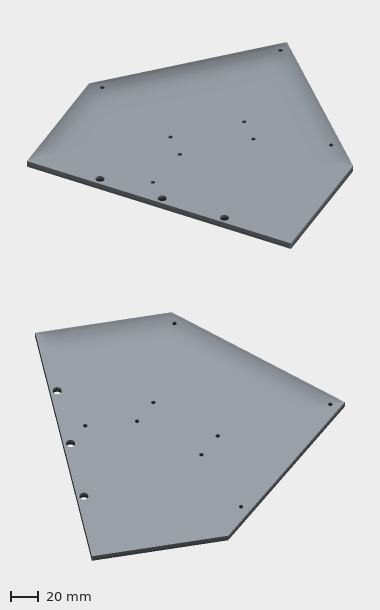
import cadquery as cq

width = 212.1
thickness = 5.0
side_height = 100.0
half_width = width / 2
apex_height = side_height + half_width

large_diameter = 6.5
large_spacing = 50.0
large_edge_distance = 5.0

small_diameter = 3.2
apex_hole_drop = 10.6
outer_rising_reach = 95.5
outer_falling_reach = 81.2
inner_center = (1.0, 83.2)
inner_rising_reach = 39.5
inner_falling_reach = 14.8


def diagonal_rectangle(center, rising_reach, falling_reach):
    """Corners of a rectangle whose sides run up-right and down-right at 45 degrees."""
    corners = []
    for rising in (-rising_reach / 2, rising_reach / 2):
        for falling in (-falling_reach / 2, falling_reach / 2):
            corners.append((center[0] + rising + falling, center[1] + rising - falling))
    return corners


def through_holes(points, diameter):
    return cq.Workplane("XY").pushPoints(points).circle(diameter / 2).extrude(thickness)


plate = (
    cq.Workplane("XY")
    .polyline([
        (-half_width, 0),
        (half_width, 0),
        (half_width, side_height),
        (0, apex_height),
        (-half_width, side_height),
    ])
    .close()
    .extrude(thickness)
)

large_points = [(step * large_spacing, large_edge_distance) for step in (-1, 0, 1)]

outer_center = (
    (outer_falling_reach - outer_rising_reach) / 2,
    apex_height - apex_hole_drop - (outer_rising_reach + outer_falling_reach) / 2,
)
small_points = (
    diagonal_rectangle(outer_center, outer_rising_reach, outer_falling_reach)
    + diagonal_rectangle(inner_center, inner_rising_reach, inner_falling_reach)
)

result = (
    plate
    .cut(through_holes(large_points, large_diameter))
    .cut(through_holes(small_points, small_diameter))
)